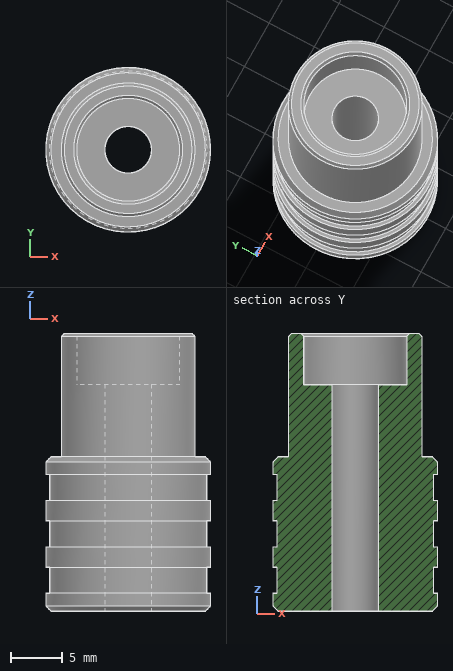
import cadquery as cq

total_height = 27.0
collar_diameter = 16.0
collar_height = 15.0
collar_chamfer = 0.5
neck_diameter = 13.0
neck_chamfer = 0.3

groove_diameter = 15.3
groove_width = 2.5
groove_pitch = 4.5
groove_count = 3
first_groove_bottom = 1.75

socket_diameter = 10.0
socket_depth = 5.0
through_diameter = 4.5


def cylinder(diameter, bottom, height):
    """Cylinder on the part axis, standing on the given height."""
    return cq.Workplane("XY").workplane(offset=bottom).circle(diameter / 2).extrude(height)


def groove_ring(bottom):
    """Ring of material removed from the collar to leave one groove."""
    return cylinder(collar_diameter, bottom, groove_width).cut(
        cylinder(groove_diameter, bottom, groove_width)
    )


collar = cylinder(collar_diameter, 0, collar_height).edges().chamfer(collar_chamfer)
neck = cylinder(neck_diameter, collar_height, total_height - collar_height)
neck = neck.faces(">Z").edges().chamfer(neck_chamfer)
body = collar.union(neck)

for index in range(groove_count):
    body = body.cut(groove_ring(first_groove_bottom + index * groove_pitch))

body = body.cut(cylinder(socket_diameter, total_height - socket_depth, socket_depth))
body = body.cut(cylinder(through_diameter, 0, total_height))

socket_mouth = cq.selectors.RadiusNthSelector(0)
result = body.faces(">Z").edges(socket_mouth).chamfer(neck_chamfer)